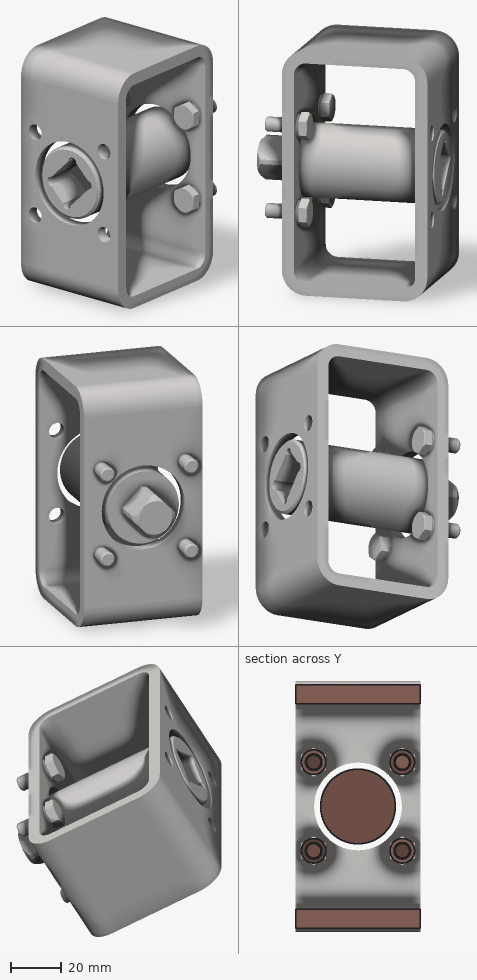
import cadquery as cq
import math

housing_width = 50.0
housing_depth = 60.0
housing_height = 100.0
wall = 5.0
outer_corner_radius = 10.0
inner_corner_radius = outer_corner_radius - wall
front_face = -housing_depth / 2
back_face = housing_depth / 2
back_wall_inside = back_face - wall

shaft_hole_diameter = 35.0
bolt_hole_diameter = 6.5
bolt_circle_diameter = 50.0
bolt_spacing = bolt_circle_diameter / math.sqrt(2)

shaft_diameter = 30.0
shaft_chamfer = 1.0
drive_across_flats = 14.0
drive_diameter = 18.0
drive_length = 15.0
drive_chamfer = 2.0
socket_length = 18.0
socket_width = 14.0
socket_depth = drive_length
socket_relief_radius = 2.0
square_tilt = 45.0

washer_diameter = 10.0
washer_hole_diameter = 6.4
washer_thickness = 0.7
washer_edge_slope = 0.5

bolt_diameter = 6.0
bolt_length = 14.0
bolt_end_chamfer = 0.6
head_sides = 6
head_across_flats = 10.0
head_height = 3.5
head_face_diameter = 8.9
head_face_height = 0.5
head_chamfer_angle = 30.0
head_tilt = 90.0
head_seat = back_wall_inside - washer_thickness


def plane_facing_back(y):
    """Sketch plane at position y along Y: local x is X, local y is -Z, extrusion goes towards +Y."""
    return cq.Workplane(cq.Plane(origin=(0, y, 0), xDir=(1, 0, 0), normal=(0, 1, 0)))


def make_housing():
    outside = (
        cq.Workplane("XY")
        .box(housing_width, housing_depth, housing_height)
        .edges("|X")
        .fillet(outer_corner_radius)
    )
    inside = (
        cq.Workplane("XY")
        .box(housing_width, housing_depth - 2 * wall, housing_height - 2 * wall)
        .edges("|X")
        .fillet(inner_corner_radius)
    )
    shaft_holes = plane_facing_back(front_face).circle(shaft_hole_diameter / 2).extrude(housing_depth)
    bolt_holes = (
        plane_facing_back(front_face)
        .rect(bolt_spacing, bolt_spacing, forConstruction=True)
        .vertices()
        .circle(bolt_hole_diameter / 2)
        .extrude(housing_depth)
    )
    return outside.cut(inside).cut(shaft_holes).cut(bolt_holes)


def make_drive():
    square = (
        plane_facing_back(back_face)
        .transformed(rotate=(0, 0, square_tilt))
        .rect(drive_across_flats, drive_across_flats)
        .extrude(drive_length)
    )
    chamfered_round = (
        plane_facing_back(back_face)
        .circle(drive_diameter / 2)
        .extrude(drive_length)
        .faces(">Y")
        .chamfer(drive_chamfer)
    )
    return square.intersect(chamfered_round)


def make_socket():
    relief_inset = socket_relief_radius / math.sqrt(2)
    start = plane_facing_back(front_face).transformed(rotate=(0, 0, -square_tilt))
    reliefs = (
        start.rect(socket_length - 2 * relief_inset, socket_width - 2 * relief_inset, forConstruction=True)
        .vertices()
        .circle(socket_relief_radius)
        .extrude(socket_depth)
    )
    return start.rect(socket_length, socket_width).extrude(socket_depth).union(reliefs)


def make_shaft():
    body = (
        plane_facing_back(front_face)
        .circle(shaft_diameter / 2)
        .extrude(housing_depth)
        .faces("<Y")
        .chamfer(shaft_chamfer)
    )
    return body.union(make_drive()).cut(make_socket())


def make_washer():
    blank = (
        plane_facing_back(head_seat)
        .circle(washer_diameter / 2)
        .extrude(washer_thickness)
        .faces("<Y")
        .chamfer(washer_edge_slope)
    )
    hole = plane_facing_back(head_seat).circle(washer_hole_diameter / 2).extrude(washer_thickness)
    return blank.cut(hole)


def make_bolt():
    flat_radius = head_across_flats / 2
    corner_radius = flat_radius / math.cos(math.pi / head_sides)
    chamfer_drop = (corner_radius - flat_radius) * math.tan(math.radians(head_chamfer_angle))
    hexagon_start = head_seat - head_face_height
    head_end = hexagon_start - head_height

    hexagon = (
        plane_facing_back(head_end)
        .transformed(rotate=(0, 0, head_tilt))
        .polygon(head_sides, 2 * corner_radius)
        .extrude(head_height)
    )
    chamfered_round = (
        plane_facing_back(head_end)
        .circle(corner_radius)
        .extrude(head_height)
        .faces("<Y")
        .chamfer(chamfer_drop, corner_radius - flat_radius)
    )
    bearing_face = plane_facing_back(hexagon_start).circle(head_face_diameter / 2).extrude(head_face_height)
    shank = (
        plane_facing_back(head_seat)
        .circle(bolt_diameter / 2)
        .extrude(bolt_length)
        .faces(">Y")
        .chamfer(bolt_end_chamfer)
    )
    return hexagon.intersect(chamfered_round).union(bearing_face).union(shank)


housing = make_housing()
shaft = make_shaft()
bolts = []
washers = []
for x in (-bolt_spacing / 2, bolt_spacing / 2):
    for z in (-bolt_spacing / 2, bolt_spacing / 2):
        bolts.append(make_bolt().translate((x, 0, z)).val())
        washers.append(make_washer().translate((x, 0, z)).val())

result = cq.Compound.makeCompound([housing.val(), shaft.val(), *bolts, *washers])